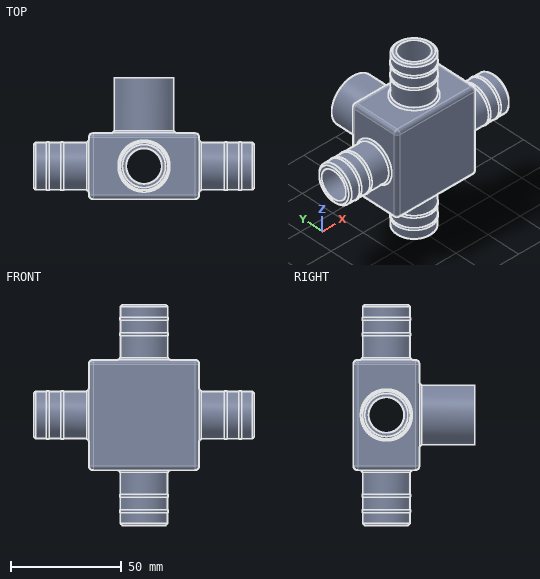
import cadquery as cq

BODY_SIDE = 50.0
BODY_DEPTH = 30.0
BODY_EDGE_RADIUS = 2.0

SPAN = 100.0
SPIGOT_RADIUS = 21.5 / 2
BORE_RADIUS = 16.0 / 2
TIP_CHAMFER = 1.0

OUTER_RIB_DISTANCE = 6.5
INNER_RIB_DISTANCE_X = 13.0
INNER_RIB_DISTANCE_Z = 13.5
RIB_WIDTH = 1.4
RIB_HEIGHT = 0.25

STUB_RADIUS = 27.0 / 2
STUB_LENGTH = 25.0

ROOT_FLARE = 1.0

TIP = SPAN / 2
ROOT = BODY_SIDE / 2
STUB_ROOT = BODY_DEPTH / 2
STUB_TIP = STUB_ROOT + STUB_LENGTH

ORIGIN = (0, 0, 0)
X_AXIS = (1, 0, 0)
Y_AXIS = (0, 1, 0)


def flare_and_revolve(profile, radius, root):
    """Finish a radius-height outline with the root flare and revolve it about Z."""
    profile = profile.lineTo(radius, root + ROOT_FLARE)
    profile = profile.lineTo(radius + ROOT_FLARE, root)
    profile = profile.lineTo(radius + ROOT_FLARE, 0).close()
    return profile.revolve(360, (0, 0, 0), (0, 1, 0))


def make_body():
    body = cq.Workplane("XY").box(BODY_SIDE, BODY_DEPTH, BODY_SIDE)
    return body.edges().fillet(BODY_EDGE_RADIUS)


def make_spigot(inner_rib_distance):
    """Solid ribbed spigot along +Z, starting at the body centre."""
    profile = cq.Workplane("XZ").lineTo(0, TIP).lineTo(SPIGOT_RADIUS - TIP_CHAMFER, TIP)
    profile = profile.lineTo(SPIGOT_RADIUS, TIP - TIP_CHAMFER)
    for distance in (OUTER_RIB_DISTANCE, inner_rib_distance):
        centre = TIP - distance
        crest = (SPIGOT_RADIUS + RIB_HEIGHT, centre)
        rib_end = (SPIGOT_RADIUS, centre - RIB_WIDTH / 2)
        profile = profile.lineTo(SPIGOT_RADIUS, centre + RIB_WIDTH / 2)
        profile = profile.threePointArc(crest, rib_end)
    return flare_and_revolve(profile, SPIGOT_RADIUS, ROOT)


def make_stub():
    """Plain stub along +Y, starting at the body centre."""
    profile = cq.Workplane("XZ").lineTo(0, STUB_TIP).lineTo(STUB_RADIUS, STUB_TIP)
    stub = flare_and_revolve(profile, STUB_RADIUS, STUB_ROOT)
    return stub.rotate(ORIGIN, X_AXIS, -90)


def make_bores():
    """Two crossing through bores, one along X and one along Z."""
    bore_x = cq.Workplane("YZ").circle(BORE_RADIUS).extrude(TIP, both=True)
    bore_z = cq.Workplane("XY").circle(BORE_RADIUS).extrude(TIP, both=True)
    return bore_x.union(bore_z)


result = make_body().union(make_stub())

spigot_x = make_spigot(INNER_RIB_DISTANCE_X)
for angle in (90, -90):
    result = result.union(spigot_x.rotate(ORIGIN, Y_AXIS, angle))

spigot_z = make_spigot(INNER_RIB_DISTANCE_Z)
for angle in (0, 180):
    result = result.union(spigot_z.rotate(ORIGIN, Y_AXIS, angle))

result = result.cut(make_bores())